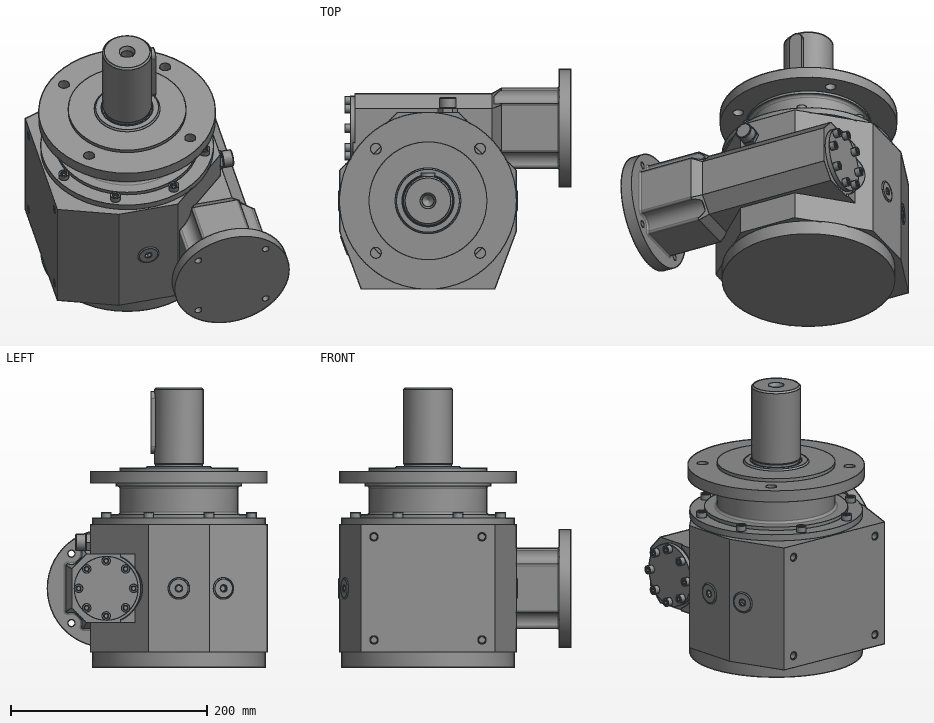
import cadquery as cq
import math


BODY_HALF_WIDTH = 90.0
BODY_HALF_HEIGHT = 65.0
BACK_FLAT_HALF = 31.0
FRONT_FLAT_HALF = 68.0
RING_DIA = 176.0
RING_BOTTOM_Z = -80.5
RING_TOP_Z = 71.5
STEP_DIA = 146.0
STEP_TOP_Z = 75.0

NECK_DIA = 120.0
NECK_FILLET = 2.5
COLLAR_DIA = 128.0
COLLAR_BOTTOM_Z = 104.2
FLANGE_DIA = 180.0
FLANGE_BOTTOM_Z = 107.0
FLANGE_THICKNESS = 12.0
FLANGE_TOP_Z = FLANGE_BOTTOM_Z + FLANGE_THICKNESS
FLANGE_HOLE_DIA = 11.0
FLANGE_BOLT_CIRCLE = 150.0
FLANGE_HOLE_COUNT = 4
PILOT_TOP_Z = 122.5
SEAL_DIA = 67.0
SEAL_TOP_Z = 124.2
SEAL_CHAMFER = 1.5
SEAL_LIP_DIA = 53.0
SEAL_LIP_DEPTH = 1.0

SHAFT_DIA = 50.0
UNDERCUT_DIA = 48.0
SHOULDER_Z = 127.3
SHOULDER_BEVEL_HEIGHT = 1.4
SHAFT_TOP_Z = 204.0
SHAFT_CHAMFER = 1.8
CENTRE_MOUTH_DIA = 16.0
CENTRE_HOLE_DIA = 12.0
CENTRE_CONE_DEPTH = 4.5
CENTRE_HOLE_DEPTH = 25.0
KEY_WIDTH = 14.0
KEY_LENGTH = 63.0
KEY_TOP_Z = 200.5
KEY_OUTER_Y = 28.5
KEY_SEAT_Y = 19.5

WORM_Y = 74.0
HOUSING_HALF = 35.0
CORNER_CUT = 15.0
HOUSING_LEFT_X = -74.5
HOUSING_RIGHT_X = 65.0
PAD_X = -76.4
PAD_TOP_Y = 59.2
SEAT_FLOOR_DIA = 70.4
SEAT_MOUTH_DIA = 74.0
SEAT_MOUTH_X = -84.0
COVER_DIA = 65.0
COVER_THICKNESS = 4.5
COVER_SCREW_CIRCLE = 56.0

BOSS_START_X = 75.0
BOSS_HALF = 41.0
BOSS_CORNER_CUT = 14.5
TAPER_END_CORNER_CUT = 17.5
BOSS_EDGE_FILLET = 2.0
BOSS_ROOT_FILLET = 1.8
SELECT_MARGIN = 0.1
MOTOR_FLANGE_DIA = 120.0
MOTOR_FLANGE_END_X = 145.5
MOTOR_FLANGE_X = MOTOR_FLANGE_END_X - FLANGE_THICKNESS
MOTOR_BOLT_CIRCLE = 100.0
MOTOR_HOLE_DIA = 7.0
SCALLOP_START_X = 67.2
SCALLOP_RADIUS = 11.0

RING_SCREW_CIRCLE = 160.0
RING_SCREW_HEAD = (10.0, 5.5, 5.0)
COVER_SCREW_HEAD = (8.5, 5.5, 4.0)
SOCKET_DEPTH = 3.0
SOCKET_MOUTH_MARGIN = 0.3
SCREW_COUNT = 8
RING_SCREW_START = 180 / SCREW_COUNT

MOUNT_HOLE_X = 55.0
MOUNT_HOLE_Z = 52.5
MOUNT_HOLE_DIA = 6.8
MOUNT_HOLE_MOUTH_DIA = 8.5
MOUNT_HOLE_DEPTH = 16.0

PLUG_BASE_DIA = 22.0
PLUG_TOP_DIA = 19.0
PLUG_HEIGHT = 1.0
PLUG_EMBED = 2.0
PLUG_SOCKET_WIDTH = 6.0
PLUG_SOCKET_DEPTH = 5.0
SLANT_PLUG_Y = -45.3

BREATHER_X = 20.2
BREATHER_Z = 46.8
BREATHER_HEX_WIDTH = 17.0
BREATHER_HEX_TOP_Y = 93.8
BREATHER_NECK_DIA = 13.0
BREATHER_CAP_DIA = 17.0
BREATHER_CAP_Y = 94.9
BREATHER_TOP_Y = 105.0
BREATHER_CAP_CHAMFER = 0.8

HEX_CORNER_RATIO = 2 / math.sqrt(3)
DIAGONAL_ANGLE = 45.0
COS_45 = math.cos(math.radians(DIAGONAL_ANGLE))


def disc(diameter, bottom, top):
    """Cylinder on the Z axis."""
    return cq.Workplane("XY").workplane(offset=bottom).circle(diameter / 2).extrude(top - bottom)


def disc_x(diameter, start, end):
    """Cylinder on the worm axis."""
    plane = cq.Workplane("YZ", origin=(start, WORM_Y, 0))
    return plane.circle(diameter / 2).extrude(end - start)


def make_body():
    """Eight-sided body with a round ring above and below."""
    w = BODY_HALF_WIDTH
    left = [(-FRONT_FLAT_HALF, -w), (-w, -BACK_FLAT_HALF), (-w, BACK_FLAT_HALF), (-BACK_FLAT_HALF, w)]
    right = [(-x, y) for x, y in reversed(left)]
    body = (
        cq.Workplane("XY")
        .workplane(offset=-BODY_HALF_HEIGHT)
        .polyline(left + right)
        .close()
        .extrude(2 * BODY_HALF_HEIGHT)
    )
    lower_ring = disc(RING_DIA, RING_BOTTOM_Z, -BODY_HALF_HEIGHT)
    upper_ring = disc(RING_DIA, BODY_HALF_HEIGHT, RING_TOP_Z)
    return body.union(lower_ring).union(upper_ring)


def make_output_column():
    """Neck, flange, seal ring and shaft as one revolved profile."""
    neck = NECK_DIA / 2
    root = neck + NECK_FILLET
    arc_mid_r = root - NECK_FILLET * COS_45
    arc_inset = NECK_FILLET * (1 - COS_45)
    undercut = UNDERCUT_DIA / 2
    shaft = SHAFT_DIA / 2
    profile = (
        cq.Workplane("XZ")
        .moveTo(0, 0)
        .lineTo(STEP_DIA / 2, 0)
        .lineTo(STEP_DIA / 2, STEP_TOP_Z)
        .lineTo(root, STEP_TOP_Z)
        .threePointArc((arc_mid_r, STEP_TOP_Z + arc_inset), (neck, STEP_TOP_Z + NECK_FILLET))
        .lineTo(neck, COLLAR_BOTTOM_Z - NECK_FILLET)
        .threePointArc((arc_mid_r, COLLAR_BOTTOM_Z - arc_inset), (root, COLLAR_BOTTOM_Z))
        .lineTo(COLLAR_DIA / 2, COLLAR_BOTTOM_Z)
        .lineTo(COLLAR_DIA / 2, FLANGE_BOTTOM_Z)
        .lineTo(FLANGE_DIA / 2, FLANGE_BOTTOM_Z)
        .lineTo(FLANGE_DIA / 2, FLANGE_TOP_Z)
        .lineTo(neck, FLANGE_TOP_Z)
        .lineTo(neck, PILOT_TOP_Z)
        .lineTo(SEAL_DIA / 2, PILOT_TOP_Z)
        .lineTo(SEAL_DIA / 2 - SEAL_CHAMFER, SEAL_TOP_Z)
        .lineTo(SEAL_LIP_DIA / 2, SEAL_TOP_Z)
        .lineTo(SEAL_LIP_DIA / 2 - SEAL_LIP_DEPTH, SEAL_TOP_Z - SEAL_LIP_DEPTH)
        .lineTo(undercut, SEAL_TOP_Z - SEAL_LIP_DEPTH)
        .lineTo(undercut, SHOULDER_Z - SHOULDER_BEVEL_HEIGHT)
        .lineTo(shaft, SHOULDER_Z)
        .lineTo(shaft, SHAFT_TOP_Z - SHAFT_CHAMFER)
        .lineTo(shaft - SHAFT_CHAMFER, SHAFT_TOP_Z)
        .lineTo(CENTRE_MOUTH_DIA / 2, SHAFT_TOP_Z)
        .lineTo(CENTRE_HOLE_DIA / 2, SHAFT_TOP_Z - CENTRE_CONE_DEPTH)
        .lineTo(CENTRE_HOLE_DIA / 2, SHAFT_TOP_Z - CENTRE_HOLE_DEPTH)
        .lineTo(0, SHAFT_TOP_Z - CENTRE_HOLE_DEPTH - CENTRE_HOLE_DIA / 2)
        .close()
    )
    column = profile.revolve(360, (0, 0, 0), (0, 1, 0))
    holes = (
        cq.Workplane("XY")
        .workplane(offset=FLANGE_BOTTOM_Z)
        .polarArray(FLANGE_BOLT_CIRCLE / 2, DIAGONAL_ANGLE, 360, FLANGE_HOLE_COUNT)
        .circle(FLANGE_HOLE_DIA / 2)
        .extrude(FLANGE_THICKNESS)
    )
    return column.cut(holes)


def make_key():
    """Round-ended key standing out of the +Y side of the shaft."""
    middle_z = KEY_TOP_Z - KEY_LENGTH / 2
    return (
        cq.Workplane("XZ", origin=(0, KEY_OUTER_Y, middle_z))
        .slot2D(KEY_LENGTH, KEY_WIDTH, 90)
        .extrude(KEY_OUTER_Y - KEY_SEAT_Y)
    )


def octagon(x, half, chamfer):
    """Square with cut corners round the worm axis, in the plane at the given x."""
    flat = half - chamfer
    points = [
        (half, flat), (flat, half), (-flat, half), (-half, flat),
        (-half, -flat), (-flat, -half), (flat, -half), (half, -flat),
    ]
    return cq.Workplane("YZ", origin=(x, WORM_Y, 0)).polyline(points).close()


def make_housing():
    """Worm housing along X with cut corners."""
    length = HOUSING_RIGHT_X - HOUSING_LEFT_X
    return octagon(HOUSING_LEFT_X, HOUSING_HALF, CORNER_CUT).extrude(length)


def make_pad():
    """Square pad between the body corner and the worm housing."""
    bottom_y = WORM_Y - HOUSING_HALF
    height_y = PAD_TOP_Y - bottom_y
    pad = cq.Workplane("XY").box(-PAD_X, height_y, 2 * HOUSING_HALF, centered=(False, False, True))
    return pad.translate((PAD_X, bottom_y, 0))


def make_cover_seat():
    """Drafted round pocket that clears the end cover in the body corner."""
    return (
        cq.Workplane("YZ", origin=(HOUSING_LEFT_X, WORM_Y, 0))
        .circle(SEAT_FLOOR_DIA / 2)
        .workplane(offset=SEAT_MOUTH_X - HOUSING_LEFT_X)
        .circle(SEAT_MOUTH_DIA / 2)
        .loft()
    )


def motor_bolts(x, radius, length):
    """Cylinders along X on the motor bolt circle, starting at the given x."""
    return (
        cq.Workplane("YZ", origin=(x, WORM_Y, 0))
        .polarArray(MOTOR_BOLT_CIRCLE / 2, DIAGONAL_ANGLE, 360, FLANGE_HOLE_COUNT)
        .circle(radius)
        .extrude(length)
    )


def make_motor_side():
    """Scalloped boss with its taper to the worm housing, and the motor flange."""
    scallops = motor_bolts(SCALLOP_START_X, SCALLOP_RADIUS, MOTOR_FLANGE_X - SCALLOP_START_X)
    boss = octagon(BOSS_START_X, BOSS_HALF, BOSS_CORNER_CUT).extrude(MOTOR_FLANGE_X - BOSS_START_X)
    boss = boss.cut(scallops).edges("|X").fillet(BOSS_EDGE_FILLET)

    start_wire = octagon(HOUSING_RIGHT_X, HOUSING_HALF, CORNER_CUT).val()
    end_wire = octagon(BOSS_START_X, BOSS_HALF, TAPER_END_CORNER_CUT).val()
    taper = cq.Workplane(cq.Solid.makeLoft([start_wire, end_wire], True)).cut(scallops)

    flange = disc_x(MOTOR_FLANGE_DIA, MOTOR_FLANGE_X, MOTOR_FLANGE_END_X)
    side = boss.union(flange)
    reach = BOSS_HALF + BOSS_ROOT_FILLET
    root_box = cq.selectors.BoxSelector(
        (MOTOR_FLANGE_X - SELECT_MARGIN, WORM_Y - reach, -reach),
        (MOTOR_FLANGE_X + SELECT_MARGIN, WORM_Y + reach, reach),
        boundingbox=True,
    )
    side = side.edges(root_box).fillet(BOSS_ROOT_FILLET)
    holes = motor_bolts(MOTOR_FLANGE_X, MOTOR_HOLE_DIA / 2, FLANGE_THICKNESS)
    return side.union(taper).cut(holes)


def hex_socket(plane, top, width, depth):
    """Hexagon socket with a countersunk mouth, cut down from the given height above the plane."""
    mouth_dia = width * HEX_CORNER_RATIO + 2 * SOCKET_MOUTH_MARGIN
    cone_height = mouth_dia / 2
    axis = cq.Plane(plane.toWorldCoords((0, 0, top)), plane.xDir, plane.zDir)
    mouth = cq.Solid.makeCone(mouth_dia / 2, 0, cone_height, axis.origin, -axis.zDir)
    hexagon = cq.Workplane(axis).polygon(6, width * HEX_CORNER_RATIO).extrude(-depth)
    return hexagon.union(cq.Workplane(mouth))


def screw_head(plane, head):
    """Cap screw head with a hexagon socket, standing on the given plane."""
    diameter, height, socket = head
    body = cq.Workplane(plane).circle(diameter / 2).extrude(height)
    return body.cut(hex_socket(plane, height, socket, SOCKET_DEPTH))


def screw_circle(centre, normal, x_dir, radius, start_angle, head):
    """Evenly spaced screw heads round a centre on a flat face."""
    screws = cq.Workplane("XY")
    base = cq.Plane(origin=centre, xDir=x_dir, normal=normal)
    for i in range(SCREW_COUNT):
        angle = math.radians(start_angle + i * 360 / SCREW_COUNT)
        spot = base.toWorldCoords((radius * math.cos(angle), radius * math.sin(angle), 0))
        screws = screws.union(screw_head(cq.Plane(spot, x_dir, normal), head))
    return screws


def make_plug(x, y, normal):
    """Low tapered screw plug and its hexagon socket, on a side face at worm height."""
    plane = cq.Plane(origin=(x, y, 0), xDir=(0, 0, 1), normal=normal)
    rim = (
        cq.Workplane(plane)
        .circle(PLUG_BASE_DIA / 2)
        .workplane(offset=PLUG_HEIGHT)
        .circle(PLUG_TOP_DIA / 2)
        .loft()
    )
    shank = cq.Workplane(plane).circle(PLUG_TOP_DIA / 2).extrude(-PLUG_EMBED)
    return rim.union(shank), hex_socket(plane, PLUG_HEIGHT, PLUG_SOCKET_WIDTH, PLUG_SOCKET_DEPTH)


def make_breather():
    """Hexagon nut, neck and round cap on the +Y face."""
    def plane_at(y):
        return cq.Workplane(cq.Plane((BREATHER_X, y, BREATHER_Z), (1, 0, 0), (0, 1, 0)))

    face_y = BODY_HALF_WIDTH
    nut = plane_at(face_y).polygon(6, BREATHER_HEX_WIDTH * HEX_CORNER_RATIO)
    nut = nut.extrude(BREATHER_HEX_TOP_Y - face_y)
    neck = plane_at(face_y).circle(BREATHER_NECK_DIA / 2).extrude(BREATHER_CAP_Y - face_y)
    cap = plane_at(BREATHER_CAP_Y).circle(BREATHER_CAP_DIA / 2).extrude(BREATHER_TOP_Y - BREATHER_CAP_Y)
    cap = cap.faces(">Y").chamfer(BREATHER_CAP_CHAMFER)
    return nut.union(neck).union(cap)


def make_mount_holes():
    """Four countersunk blind holes in the -Y face."""
    mouth_depth = (MOUNT_HOLE_MOUTH_DIA - MOUNT_HOLE_DIA) / 2
    mouth = MOUNT_HOLE_MOUTH_DIA / 2
    bore = MOUNT_HOLE_DIA / 2
    hole = (
        cq.Workplane("XY")
        .polyline([(0, 0), (mouth, 0), (bore, mouth_depth), (bore, MOUNT_HOLE_DEPTH), (0, MOUNT_HOLE_DEPTH)])
        .close()
        .revolve(360, (0, 0, 0), (0, 1, 0))
    )
    holes = cq.Workplane("XY")
    for x in (-MOUNT_HOLE_X, MOUNT_HOLE_X):
        for z in (-MOUNT_HOLE_Z, MOUNT_HOLE_Z):
            holes = holes.union(hole.translate((x, -BODY_HALF_WIDTH, z)))
    return holes


result = make_body().union(make_housing()).union(make_pad())
result = result.cut(make_cover_seat())
result = result.union(disc_x(COVER_DIA, HOUSING_LEFT_X - COVER_THICKNESS, HOUSING_LEFT_X))
result = result.union(make_motor_side())
result = result.union(make_output_column()).union(make_key())
ring_centre = (0, 0, RING_TOP_Z)
ring_radius = RING_SCREW_CIRCLE / 2
result = result.union(
    screw_circle(ring_centre, (0, 0, 1), (1, 0, 0), ring_radius, RING_SCREW_START, RING_SCREW_HEAD)
)
cover_centre = (HOUSING_LEFT_X - COVER_THICKNESS, WORM_Y, 0)
result = result.union(
    screw_circle(cover_centre, (-1, 0, 0), (0, 1, 0), COVER_SCREW_CIRCLE / 2, 0, COVER_SCREW_HEAD)
)

slant_run = (BODY_HALF_WIDTH - FRONT_FLAT_HALF) / (BODY_HALF_WIDTH - BACK_FLAT_HALF)
slant_x = -BODY_HALF_WIDTH - (SLANT_PLUG_Y + BACK_FLAT_HALF) * slant_run
plug_places = [
    (-BODY_HALF_WIDTH, 0, (-1, 0, 0)),
    (BODY_HALF_WIDTH, 0, (1, 0, 0)),
    (slant_x, SLANT_PLUG_Y, (-1, -slant_run, 0)),
]
for plug_x, plug_y, plug_normal in plug_places:
    plug, plug_socket = make_plug(plug_x, plug_y, plug_normal)
    result = result.union(plug).cut(plug_socket)

result = result.union(make_breather()).cut(make_mount_holes())